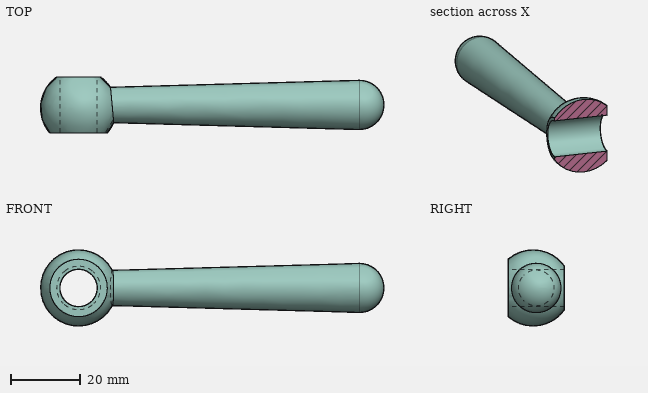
import cadquery as cq
import math

total_length = 99.35
ball_radius = 11.0
front_flat = 7.3
back_flat = 9.0
bore_diameter = 10.7
grip_tip_radius = 7.2
neck_radius = 5.2
neck_x = 9.9

hub_width = front_flat + back_flat
grip_axis_y = (back_flat - front_flat) / 2
tip_x = total_length - ball_radius
dome_x = tip_x - grip_tip_radius
taper = (grip_tip_radius - neck_radius) / (dome_x - neck_x)
root_radius = neck_radius - taper * neck_x


def make_hub():
    """Ball trimmed by two parallel flats."""
    slab = cq.Workplane("XY").box(2 * ball_radius, hub_width, 2 * ball_radius)
    slab = slab.translate((0, grip_axis_y, 0))
    return cq.Workplane("XY").sphere(ball_radius).intersect(slab)


def make_grip():
    """Tapered round grip with a domed tip, starting inside the ball."""
    dome_offset = grip_tip_radius * math.sqrt(0.5)
    profile = (
        cq.Workplane("XY")
        .lineTo(0, root_radius)
        .lineTo(dome_x, grip_tip_radius)
        .threePointArc((dome_x + dome_offset, dome_offset), (tip_x, 0))
        .close()
    )
    grip = profile.revolve(360, (0, 0, 0), (1, 0, 0))
    return grip.translate((0, grip_axis_y, 0))


def make_bore():
    """Through hole across the ball."""
    bore = cq.Workplane("XZ").circle(bore_diameter / 2).extrude(hub_width, both=True)
    return bore


result = make_hub().union(make_grip()).cut(make_bore())